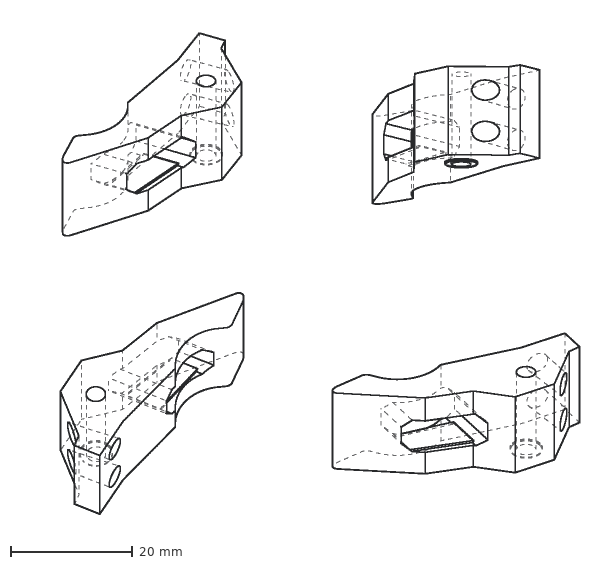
import cadquery as cq

body_height = 15.03
length = 41.85
width = 18.45
mount_face_x = 6.28

pivot_x, pivot_y = 12.98, 30.4
pivot_diameter = 3.2
boss_diameter = 5.45
boss_height = 0.3
boss_chamfer = 0.13

hole_spacing = 7.05
entry_y, entry_width, entry_height = 36.5, 4.0, 3.47
exit_y, exit_width, exit_height = 37.1, 3.0, 3.4

window_y_min, window_y_max = 8.9, 21.75
window_z_min, window_z_max = 4.25, 10.45
window_chamfer = 1.45

pad_thickness = 0.38
pad_y_min, pad_y_max = 9.2, 20.5
pad_left_bottom, pad_left_top = 4.5, 6.2
pad_right_bottom, pad_right_top = 9.4, 12.7


def make_body():
    outline = (
        cq.Workplane("XY")
        .moveTo(mount_face_x, length)
        .lineTo(11.0, length)
        .lineTo(11.35, 39.65)
        .lineTo(width, 32.55)
        .lineTo(width, 25.05)
        .lineTo(13.45, 20.0)
        .lineTo(11.15, 12.1)
        .lineTo(3.1, 1.2)
        .lineTo(2.43, 0.35)
        .threePointArc((1.7, 0), (1.0, 0.55))
        .lineTo(0.85, 0.85)
        .lineTo(0.65, 1.45)
        .lineTo(0.05, 6.25)
        .threePointArc((0.1, 7.2), (0.63, 7.83))
        .lineTo(2.0, 8.8)
        .threePointArc((5.1, 15.05), (3.9, 19.4))
        .lineTo(mount_face_x, 33.55)
        .close()
    )
    return outline.extrude(body_height)


def make_boss():
    return (
        cq.Workplane("XY", origin=(pivot_x, pivot_y, -boss_height))
        .circle(boss_diameter / 2)
        .extrude(boss_height)
        .faces("<Z")
        .chamfer(boss_chamfer)
    )


def make_pivot_hole():
    return (
        cq.Workplane("XY", origin=(pivot_x, pivot_y, -boss_height))
        .circle(pivot_diameter / 2)
        .extrude(body_height + boss_height)
    )


def make_tapered_hole(z):
    return (
        cq.Workplane("YZ", origin=(mount_face_x, entry_y, z))
        .ellipse(entry_width / 2, entry_height / 2)
        .workplane(offset=width - mount_face_x)
        .center(exit_y - entry_y, 0)
        .ellipse(exit_width / 2, exit_height / 2)
        .loft()
    )


def make_window():
    window_length = window_y_max - window_y_min
    window_height = window_z_max - window_z_min
    return (
        cq.Workplane("XY")
        .box(width, window_length, window_height, centered=False)
        .edges("|X")
        .chamfer(window_chamfer)
        .translate((0, window_y_min, window_z_min))
    )


def make_pad(body):
    return (
        cq.Workplane("XY", origin=(0, 0, window_z_min))
        .moveTo(pad_left_bottom, pad_y_min)
        .lineTo(pad_right_bottom, pad_y_min)
        .lineTo(pad_right_top, pad_y_max)
        .lineTo(pad_left_top, pad_y_max)
        .close()
        .extrude(pad_thickness)
        .intersect(body)
    )


body = make_body()
result = body.union(make_boss()).cut(make_pivot_hole()).cut(make_window())
result = result.union(make_pad(body))
for side in (-1, 1):
    hole_z = body_height / 2 + side * hole_spacing / 2
    result = result.cut(make_tapered_hole(hole_z))